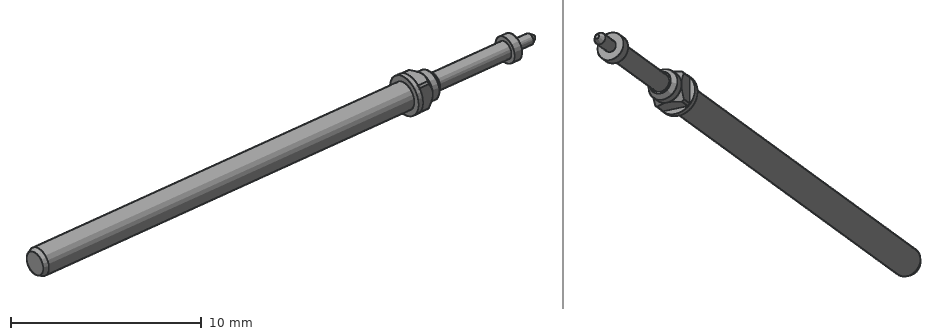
import cadquery as cq

total_length = 34.5
tip_end = total_length / 2
barrel_end = -total_length / 2

tip_diameter = 0.65
collar_diameter = 1.55
shaft_diameter = 1.05
cone_top_diameter = 1.25
neck_diameter = 1.72
flange_diameter = 2.3
barrel_diameter = 1.62
nut_across_flats = neck_diameter
nut_across_corners = 2.28

tip_chamfer_length = 0.3
tip_chamfer_depth = 0.2
tip_length = 1.5
collar_length = 0.52
shaft_length = 5.0
cone_length = 0.28
neck_length = 0.45
nut_length = 0.93
flange_thickness = 0.3
end_chamfer_length = 0.28
end_chamfer_depth = 0.15

collar_top = tip_end - tip_length
collar_bottom = collar_top - collar_length
cone_top = collar_bottom - shaft_length
neck_top = cone_top - cone_length
nut_top = neck_top - neck_length
flange_top = nut_top - nut_length
flange_bottom = flange_top - flange_thickness


def turned_body():
    """Everything round about the Y axis, as one revolved half profile."""
    profile = [
        (0, tip_end),
        (tip_diameter / 2 - tip_chamfer_depth, tip_end),
        (tip_diameter / 2, tip_end - tip_chamfer_length),
        (tip_diameter / 2, collar_top),
        (collar_diameter / 2, collar_top),
        (collar_diameter / 2, collar_bottom),
        (shaft_diameter / 2, collar_bottom),
        (shaft_diameter / 2, cone_top),
        (cone_top_diameter / 2, cone_top),
        (neck_diameter / 2, neck_top),
        (neck_diameter / 2, nut_top),
        (barrel_diameter / 2, nut_top),
        (barrel_diameter / 2, flange_top),
        (flange_diameter / 2, flange_top),
        (flange_diameter / 2, flange_bottom),
        (barrel_diameter / 2, flange_bottom),
        (barrel_diameter / 2, barrel_end + end_chamfer_length),
        (barrel_diameter / 2 - end_chamfer_depth, barrel_end),
        (0, barrel_end),
    ]
    return cq.Workplane("XY").polyline(profile).close().revolve(360, (0, 0), (0, 1))


def square_nut():
    """Square section with round corners, its top corners turned off at 45 degrees."""
    corner_radius = nut_across_corners / 2
    corner_chamfer = corner_radius - nut_across_flats / 2
    blank = (
        cq.Workplane("XZ", origin=(0, nut_top, 0))
        .circle(corner_radius)
        .extrude(nut_length)
        .faces(">Y")
        .chamfer(corner_chamfer)
    )
    square = (
        cq.Workplane("XZ", origin=(0, nut_top, 0))
        .rect(nut_across_flats, nut_across_flats)
        .extrude(nut_length)
    )
    return blank.intersect(square)


result = turned_body().union(square_nut())